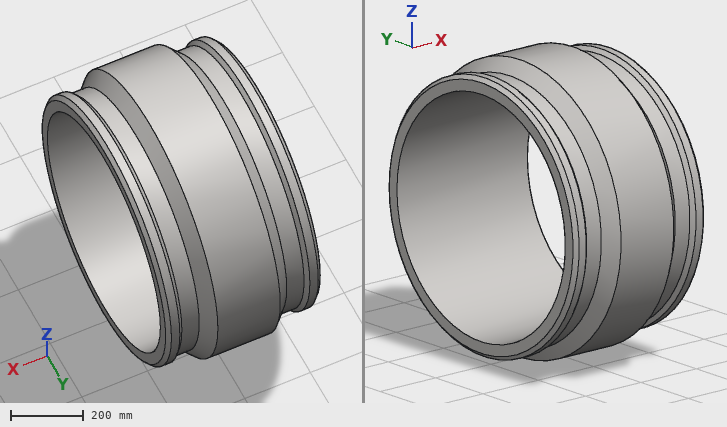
import cadquery as cq

length = 472.0
bore_diameter = 710.0
neck_diameter = 776.0
bead_diameter = 800.0
band_diameter = 853.0

band_width = 190.0
bead_width = 49.5
bead_chamfer = (bead_diameter - neck_diameter) / 2
band_slope = (band_diameter - neck_diameter) / 2

bore_radius = bore_diameter / 2
neck_radius = neck_diameter / 2
bead_radius = bead_diameter / 2
band_radius = band_diameter / 2

end = length / 2
bead_start = end - bead_width
band_edge = band_width / 2

half_profile = [
    (band_edge, band_radius),
    (band_edge + band_slope, neck_radius),
    (bead_start, neck_radius),
    (bead_start + bead_chamfer, bead_radius),
    (end - bead_chamfer, bead_radius),
    (end, neck_radius),
    (end, bore_radius),
]
mirrored_profile = [(-x, radius) for x, radius in reversed(half_profile)]

result = (
    cq.Workplane("XY")
    .polyline(half_profile + mirrored_profile)
    .close()
    .revolve(360, (0, 0, 0), (1, 0, 0))
)